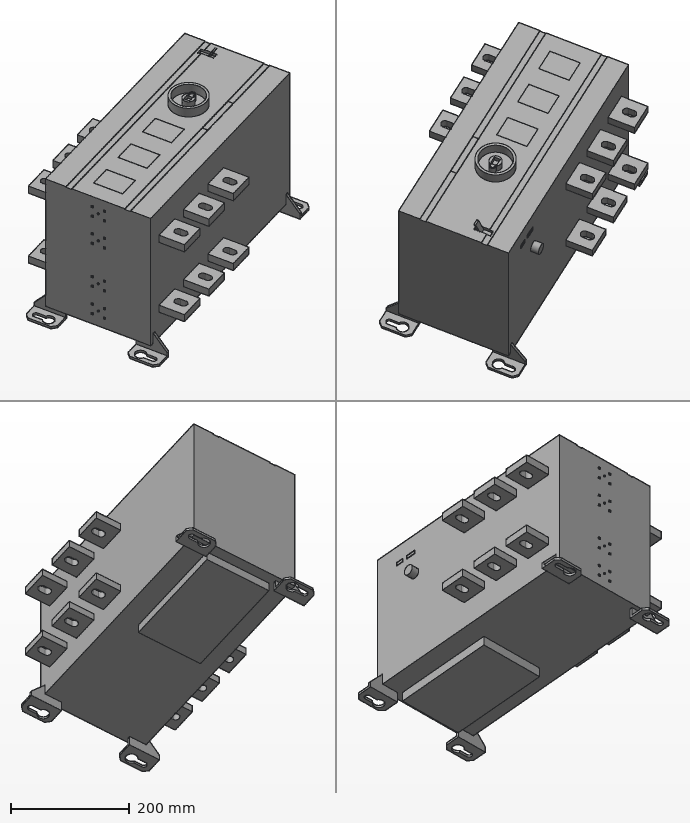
import cadquery as cq

body_width = 206.5
body_length = 455.5
body_bottom = 20.5
body_top = 296.0
half_width = body_width / 2

tray_width = 126.5
tray_front = 5.0
tray_back = 208.5
tray_bottom = 2.0

groove_width = 11.0
groove_offset = 57.5
groove_depth = 1.5
groove_pocket_depth = 0.5
groove_pocket_front = 27.0
groove_pocket_back = 110.5

pole_ys = [-175.0, -95.0, -15.0]
window_width = 56.5
window_length = 42.0
window_shift = 1.0
window_depth = 0.5
terminal_span = 306.0
terminal_width = 51.0
upper_terminal = (225.5, 241.5)
lower_terminal = (75.0, 90.0)
terminal_slot_length = 25.0
terminal_slot_width = 14.0
terminal_slot_x = 131.0

socket_y = 68.5
socket_top = 314.5
socket_diameter = 69.5
socket_bore = 59.5
shaft_diameter = 22.5
shaft_height = 13.5
shaft_socket_width = 11.0
shaft_socket_length = 13.0
shaft_socket_depth = 7.5
nose_width = 12.0
nose_reach = 17.5
nose_slot_width = 8.5
nose_slot_reach = 15.0
nose_slot_depth = 2.5

lever_y = 201.5
lever_width = 11.0
trench_left = -58.5
trench_right = -28.0
trench_depth = 6.0
lever_foot_x = -41.0
lever_tip_x = -31.5
lever_thickness = 3.5
lever_top = 308.5

button_y = 134.0
button_z = 211.5
button_diameter = 19.5
button_reach = 14.5
mark_z = 259.0
mark_height = 6.5
mark_depth = 1.0
marks = [(172.5, 15.0), (144.5, 20.0)]

hole_group_zs = [52.5, 112.0, 204.5, 263.0]
hole_spacing_x = 24.0
hole_spacing_z = 20.5
hole_size = 3.5
centre_hole_diameter = 3.5
hole_depth = 2.0

overall_length = 506.0
foot_outer_x = 130.5
foot_inner_x = 69.5
foot_thickness = 5.0
foot_wall_y = 214.5
foot_side_height = 11.5
foot_slope_top = 42.5
foot_chamfer = 8.0
keyhole_y = 239.0
keyhole_x = 90.0
keyhole_diameter = 21.0
keyhole_slot_width = 11.0
keyhole_slot_end = 121.0


def box(x_range, y_range, z_range):
    """Axis-aligned block given by its limits."""
    (x0, x1), (y0, y1), (z0, z1) = x_range, y_range, z_range
    return cq.Workplane("XY").box(x1 - x0, y1 - y0, z1 - z0, centered=False).translate((x0, y0, z0))


def around(centre, size):
    """Limits of a length centred on a position."""
    return (centre - size / 2, centre + size / 2)


def make_housing():
    housing = box(around(0, body_width), around(0, body_length), (body_bottom, body_top))
    tray = box(around(0, tray_width), (tray_front, tray_back), (tray_bottom, body_bottom))
    return housing.union(tray)


def cut_top_grooves(part):
    floor = body_top - groove_depth
    for x in (-groove_offset, groove_offset):
        part = part.cut(box(around(x, groove_width), around(0, body_length), (floor, body_top)))
    pocket = box(
        around(groove_offset, groove_width),
        (groove_pocket_front, groove_pocket_back),
        (floor - groove_pocket_depth, body_top),
    )
    return part.cut(pocket)


def cut_windows(part):
    for y in pole_ys:
        window = box(
            around(0, window_width),
            around(y + window_shift, window_length),
            (body_top - window_depth, body_top),
        )
        part = part.cut(window)
    return part


def add_terminals(part):
    """Flat bars through the housing, slotted at both ends."""
    for z_range in (lower_terminal, upper_terminal):
        for y in pole_ys:
            bar = box(around(0, terminal_span), around(y, terminal_width), z_range)
            slots = (
                cq.Workplane("XY", origin=(0, y, z_range[0]))
                .pushPoints([(-terminal_slot_x, 0), (terminal_slot_x, 0)])
                .slot2D(terminal_slot_length, terminal_slot_width)
                .extrude(z_range[1] - z_range[0])
            )
            part = part.union(bar.cut(slots))
    return part


def nose_outline(plane, width, reach):
    """Tongue from the plane's origin along +Y with a round tip."""
    straight = reach - width / 2
    return (
        plane.moveTo(-width / 2, 0)
        .lineTo(-width / 2, straight)
        .threePointArc((0, reach), (width / 2, straight))
        .lineTo(width / 2, 0)
        .close()
    )


def add_handle_socket(part):
    """Open ring around a nosed shaft with a keyed, near-square socket."""
    base = cq.Workplane("XY", origin=(0, socket_y, body_top))
    shaft_face = base.workplane(offset=shaft_height)
    ring = base.circle(socket_diameter / 2).circle(socket_bore / 2).extrude(socket_top - body_top)
    nose = nose_outline(base, nose_width, nose_reach).extrude(shaft_height)
    nose_slot = nose_outline(shaft_face, nose_slot_width, nose_slot_reach).extrude(-nose_slot_depth)
    shaft_socket = shaft_face.rect(shaft_socket_width, shaft_socket_length).extrude(-shaft_socket_depth)
    shaft = base.circle(shaft_diameter / 2).extrude(shaft_height).union(nose)
    shaft = shaft.cut(nose_slot).cut(shaft_socket)
    return part.union(ring).union(shaft)


def add_lever(part):
    trench_floor = body_top - trench_depth
    trench = box(
        (trench_left, trench_right),
        around(lever_y, lever_width),
        (trench_floor, body_top),
    )
    lever = (
        cq.Workplane("XZ", origin=(0, lever_y + lever_width / 2, 0))
        .polyline([
            (lever_foot_x, trench_floor),
            (lever_tip_x, lever_top),
            (lever_tip_x + lever_thickness, lever_top),
            (lever_foot_x + lever_thickness, trench_floor),
        ])
        .close()
        .extrude(lever_width)
    )
    return part.cut(trench).union(lever)


def add_side_details(part):
    """Push button and shallow marks on the left side."""
    button = (
        cq.Workplane("YZ", origin=(-half_width, button_y, button_z))
        .circle(button_diameter / 2)
        .extrude(-button_reach)
    )
    part = part.union(button)
    for y, length in marks:
        mark = box(
            (-half_width, -half_width + mark_depth),
            around(y, length),
            around(mark_z, mark_height),
        )
        part = part.cut(mark)
    return part


def cut_front_holes(part):
    front = -body_length / 2
    dx = hole_spacing_x / 2
    dz = hole_spacing_z / 2
    for group_z in hole_group_zs:
        centre_hole = (
            cq.Workplane("XZ", origin=(0, front, group_z))
            .circle(centre_hole_diameter / 2)
            .extrude(-hole_depth)
        )
        part = part.cut(centre_hole)
        for x in (-dx, dx):
            for z in (group_z - dz, group_z + dz):
                hole = box(around(x, hole_size), (front, front + hole_depth), around(z, hole_size))
                part = part.cut(hole)
    return part


def make_foot():
    """Bent bracket at the back right corner: gusset wall plus keyhole plate."""
    wall = (
        cq.Workplane("XZ", origin=(0, foot_wall_y, 0))
        .polyline([
            (foot_inner_x, 0),
            (foot_outer_x, 0),
            (foot_outer_x, foot_side_height),
            (half_width, foot_slope_top),
            (foot_inner_x, foot_slope_top),
        ])
        .close()
        .extrude(-foot_thickness)
    )
    plate = box((foot_inner_x, foot_outer_x), (foot_wall_y, overall_length / 2), (0, foot_thickness))
    plate = plate.edges("|Z and >Y").chamfer(foot_chamfer)
    foot = wall.union(plate)

    slot_round_x = keyhole_slot_end - keyhole_slot_width / 2
    keyhole = (
        cq.Workplane("XY")
        .circle(keyhole_diameter / 2)
        .extrude(foot_thickness)
        .translate((keyhole_x, keyhole_y, 0))
    )
    slot = box((keyhole_x, slot_round_x), around(keyhole_y, keyhole_slot_width), (0, foot_thickness))
    slot_end = (
        cq.Workplane("XY", origin=(slot_round_x, keyhole_y, 0))
        .circle(keyhole_slot_width / 2)
        .extrude(foot_thickness)
    )
    return foot.cut(keyhole).cut(slot).cut(slot_end)


def add_feet(part):
    right_foot = make_foot()
    left_foot = right_foot.mirror("YZ")
    for foot in (right_foot, left_foot):
        part = part.union(foot).union(foot.mirror("XZ"))
    return part


result = make_housing()
result = cut_top_grooves(result)
result = cut_windows(result)
result = add_terminals(result)
result = add_handle_socket(result)
result = add_lever(result)
result = add_side_details(result)
result = cut_front_holes(result)
result = add_feet(result)